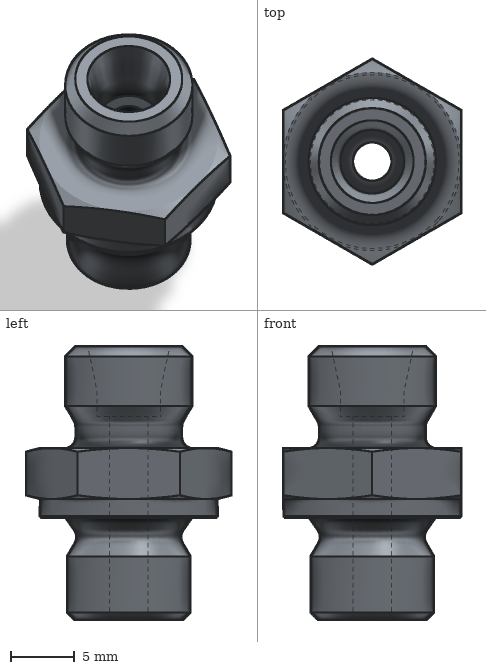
import cadquery as cq
import math

total_height = 21.5
lower_thread_top = 4.99
lower_neck_height = 6.51
collar_bottom = 8.0
hex_bottom = 9.5
hex_top = 13.5
upper_thread_bottom = 16.81

across_flats = 14.0
across_corners = across_flats / math.cos(math.radians(30))
hex_chamfer_angle = math.radians(15)
collar_radius = across_flats / 2
collar_chamfer = 0.17

lower_thread_radius = 9.72 / 2
lower_end_chamfer = 0.6
lower_neck_radius = 4.13
lower_neck_round = 1.0
lower_cone_angle = math.radians(30)
collar_cone_angle = math.radians(35)

upper_thread_radius = 10.0 / 2
undercut_radius = 8.4 / 2
upper_end_chamfer = upper_thread_radius - undercut_radius
undercut_round = upper_thread_radius - undercut_radius
undercut_cone_angle = math.radians(30)

through_diameter = 3.0
tube_radius = 5.0 / 2
seat_mouth_radius = 3.25
seat_half_angle = math.radians(12)
seat_depth = (seat_mouth_radius - tube_radius) / math.tan(seat_half_angle)
tube_socket_depth = 5.5


def lower_neck_point(angle):
    """Point on the neck round; negative angles lie below its narrowest level."""
    radius = lower_neck_radius + lower_neck_round * (1 - math.cos(angle))
    return radius, lower_neck_height + lower_neck_round * math.sin(angle)


def turned_body():
    """Threaded ends, necks and collar, revolved about Z."""
    collar_cone_start = lower_neck_point(collar_cone_angle)
    collar_cone_height = collar_bottom - collar_cone_start[1]
    collar_cone_radius = collar_cone_start[0] + collar_cone_height * math.tan(collar_cone_angle)

    cone_foot_radius = undercut_radius + undercut_round * (1 - math.cos(undercut_cone_angle))
    cone_height = (upper_thread_radius - cone_foot_radius) / math.tan(undercut_cone_angle)
    cone_foot = upper_thread_bottom - cone_height
    undercut_top = cone_foot - undercut_round * math.sin(undercut_cone_angle)
    half_angle = undercut_cone_angle / 2
    cone_round_middle = (
        undercut_radius + undercut_round * (1 - math.cos(half_angle)),
        undercut_top + undercut_round * math.sin(half_angle),
    )
    base_round_middle = (
        undercut_radius + undercut_round * (1 - math.sqrt(0.5)),
        hex_top + undercut_round * (1 - math.sqrt(0.5)),
    )

    profile = (
        cq.Workplane("XZ")
        .lineTo(lower_thread_radius - lower_end_chamfer, 0)
        .lineTo(lower_thread_radius, lower_end_chamfer)
        .lineTo(lower_thread_radius, lower_thread_top)
        .lineTo(*lower_neck_point(-lower_cone_angle))
        .threePointArc(lower_neck_point(0), collar_cone_start)
        .lineTo(collar_cone_radius, collar_bottom)
        .lineTo(collar_radius - collar_chamfer, collar_bottom)
        .lineTo(collar_radius, collar_bottom + collar_chamfer)
        .lineTo(collar_radius, hex_top)
        .lineTo(undercut_radius + undercut_round, hex_top)
        .threePointArc(base_round_middle, (undercut_radius, hex_top + undercut_round))
        .lineTo(undercut_radius, undercut_top)
        .threePointArc(cone_round_middle, (cone_foot_radius, cone_foot))
        .lineTo(upper_thread_radius, upper_thread_bottom)
        .lineTo(upper_thread_radius, total_height - upper_end_chamfer)
        .lineTo(upper_thread_radius - upper_end_chamfer, total_height)
        .lineTo(0, total_height)
        .close()
    )
    return profile.revolve(360, (0, 0, 0), (0, 1, 0))


def chamfered_hexagon():
    """Hexagon with corners on Y, both faces turned down to conical chamfers."""
    hexagon = (
        cq.Workplane("XY", origin=(0, 0, hex_bottom))
        .polygon(6, across_corners)
        .extrude(hex_top - hex_bottom)
        .rotate((0, 0, 0), (0, 0, 1), 30)
    )
    envelope_radius = across_corners / 2 + 0.22
    chamfer_drop = (envelope_radius - collar_radius) * math.tan(hex_chamfer_angle)
    envelope = (
        cq.Workplane("XZ")
        .moveTo(0, hex_bottom)
        .lineTo(collar_radius, hex_bottom)
        .lineTo(envelope_radius, hex_bottom + chamfer_drop)
        .lineTo(envelope_radius, hex_top - chamfer_drop)
        .lineTo(collar_radius, hex_top)
        .lineTo(0, hex_top)
        .close()
        .revolve(360, (0, 0, 0), (0, 1, 0))
    )
    return hexagon.intersect(envelope)


def bore():
    """Through hole, flat-bottomed tube socket and conical seat at the upper end."""
    through_radius = through_diameter / 2
    socket_floor = total_height - tube_socket_depth
    return (
        cq.Workplane("XZ")
        .lineTo(through_radius, 0)
        .lineTo(through_radius, socket_floor)
        .lineTo(tube_radius, socket_floor)
        .lineTo(tube_radius, total_height - seat_depth)
        .lineTo(seat_mouth_radius, total_height)
        .lineTo(0, total_height)
        .close()
        .revolve(360, (0, 0, 0), (0, 1, 0))
    )


result = turned_body().union(chamfered_hexagon()).cut(bore())